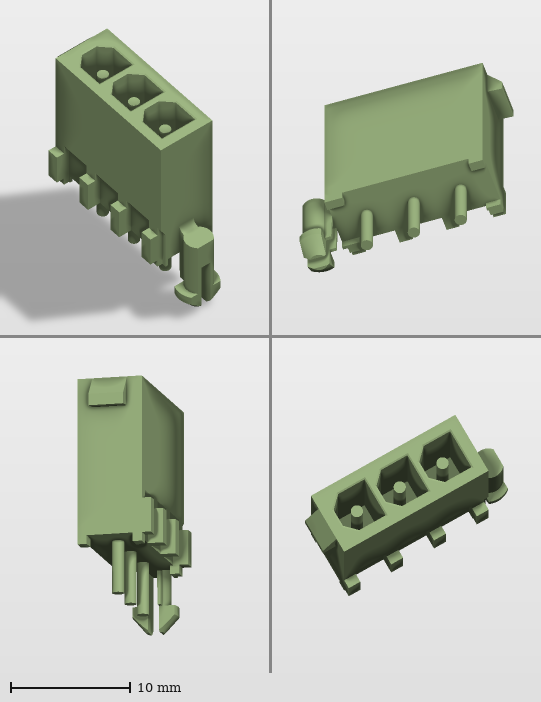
import cadquery as cq


body_length = 13.96
body_width = 5.57
body_height = 13.48
overall_height = 18.57
front_face = -body_width / 2
back_face = body_width / 2

contact_count = 3
pitch = 4.15
pin_diameter = 1.02
pin_bottom = -4.45
pin_top = body_height - 1.45
first_contact_x = body_length / 2 - pitch

cavity_size = 3.57
cavity_corner = 1.0
cavity_floor = 3.86
cavity_offset_x = -0.02
lead_in = 0.13
lead_in_depth = 0.07

recess_count = contact_count + 1
first_recess_x = 1.11
recess_length = 2.99
recess_depth = 0.52
recess_top = 3.86
rib_projection = 0.78
rib_height = 2.97
rib_length = pitch - recess_length

foot_height = 0.75
foot_depth = 0.8
latch_end_foot = 1.25
peg_end_foot = 1.55

latch_projection = 1.3
latch_width = 3.0
latch_nose_top = 11.85
latch_nose_bottom = 10.86
latch_root_bottom = 11.0

peg_inner_x = 14.58
peg_outer_x = 16.53
peg_middle_x = (peg_inner_x + peg_outer_x) / 2
barrel_radius = 1.28
barrel_top = 2.55
barrel_bottom = -2.9
web_thickness = 1.55
web_fillet = peg_inner_x - body_length
web_taper = 0.05
prong_axis_x = 15.35
prong_radius = 1.97
prong_tip_radius = 0.78
prong_cone_top = -3.71
prong_tip = body_height - overall_height
prong_gap = 0.97
prong_gap_top = 0


def box(x_range, y_range, z_range):
    """Axis-aligned block between the given limits."""
    return (
        cq.Workplane("XY", origin=(x_range[0], y_range[0], z_range[0]))
        .box(
            x_range[1] - x_range[0],
            y_range[1] - y_range[0],
            z_range[1] - z_range[0],
            centered=False,
        )
    )


def cylinder(x, radius, bottom, top):
    """Upright cylinder on the body's middle plane."""
    return cq.Workplane("XY", origin=(x, 0, bottom)).circle(radius).extrude(top - bottom)


def side_profile(points, width):
    """Outline in the XZ plane, thickened evenly about the middle plane."""
    return cq.Workplane("XZ").polyline(points).close().extrude(width / 2, both=True)


def cavity_outline(x, z, margin):
    """Square with both latch-side corners cut off, enlarged by a margin."""
    half = cavity_size / 2 + margin
    corner = cavity_corner + margin / 2
    return (
        cq.Workplane("XY", origin=(x + cavity_offset_x, 0, z))
        .moveTo(half, -half)
        .lineTo(half, half)
        .lineTo(corner - half, half)
        .lineTo(-half, half - corner)
        .lineTo(-half, corner - half)
        .lineTo(corner - half, -half)
        .close()
    )


def cavity(x):
    """Straight cavity with a flared lead-in at the mating face."""
    shaft = cavity_outline(x, cavity_floor, 0).extrude(body_height - cavity_floor)
    lead_in_wires = [
        cavity_outline(x, body_height - lead_in_depth, 0).val(),
        cavity_outline(x, body_height, lead_in).val(),
    ]
    flare = cq.Workplane(cq.Solid.makeLoft(lead_in_wires, True))
    return shaft.union(flare)


def front_recess(x):
    """Recess with a sloping roof, open at the underside and through the feet."""
    back = front_face + recess_depth
    outside = front_face - rib_projection
    return (
        cq.Workplane("YZ", origin=(x, 0, 0))
        .moveTo(outside, -foot_height)
        .lineTo(back, -foot_height)
        .lineTo(back, rib_height)
        .lineTo(front_face, recess_top)
        .lineTo(outside, recess_top)
        .close()
        .extrude(recess_length)
    )


def feet():
    """Two feet at each end of the body, along its long edges."""
    blocks = cq.Workplane("XY")
    for x_range in [(0, latch_end_foot), (body_length - peg_end_foot, body_length)]:
        for y_range in [
            (front_face, front_face + foot_depth),
            (back_face - foot_depth, back_face),
        ]:
            blocks = blocks.union(box(x_range, y_range, (-foot_height, 0)))
    return blocks


def latch():
    """Ramp that catches the mating plug."""
    outline = [
        (0, body_height),
        (-latch_projection, latch_nose_top),
        (-latch_projection, latch_nose_bottom),
        (0, latch_root_bottom),
    ]
    return side_profile(outline, latch_width)


def peg_web():
    """Wall that joins the peg to the body, filleted at its top."""
    return (
        cq.Workplane("XZ")
        .moveTo(body_length, barrel_top + web_fillet)
        .radiusArc((body_length + web_fillet, barrel_top), -web_fillet)
        .lineTo(peg_middle_x, barrel_top)
        .lineTo(peg_middle_x, barrel_bottom)
        .lineTo(body_length + web_taper, barrel_bottom)
        .lineTo(body_length, -foot_height)
        .close()
        .extrude(web_thickness / 2, both=True)
    )


def peg():
    """Barrel with flats on both sides, split from below into two barbed prongs."""
    prongs = cylinder(prong_axis_x, prong_radius, prong_cone_top, barrel_bottom)
    tip = cq.Solid.makeCone(
        prong_radius,
        prong_tip_radius,
        prong_cone_top - prong_tip,
        pnt=cq.Vector(prong_axis_x, 0, prong_cone_top),
        dir=cq.Vector(0, 0, -1),
    )
    gap = box(
        (body_length, peg_outer_x),
        (-prong_gap / 2, prong_gap / 2),
        (prong_tip, prong_gap_top),
    )
    flats = box(
        (peg_inner_x, peg_outer_x),
        (-prong_radius, prong_radius),
        (prong_tip, barrel_top),
    )
    barrel = cylinder(peg_middle_x, barrel_radius, barrel_bottom, barrel_top)
    shank = barrel.union(prongs).union(tip).intersect(flats)
    return shank.union(peg_web()).cut(gap)


contact_positions = [first_contact_x + pitch * i for i in range(contact_count)]
recess_positions = [first_recess_x + pitch * i for i in range(recess_count)]

result = box((0, body_length), (front_face, back_face), (0, body_height))
result = result.union(feet())

for recess_x in recess_positions:
    rib_start = max(0, recess_x - rib_length)
    rib = box((rib_start, recess_x), (front_face - rib_projection, front_face), (0, rib_height))
    result = result.union(rib).cut(front_recess(recess_x))

for contact_x in contact_positions:
    result = result.cut(cavity(contact_x))
    result = result.union(cylinder(contact_x, pin_diameter / 2, pin_bottom, pin_top))

result = result.union(latch()).union(peg())